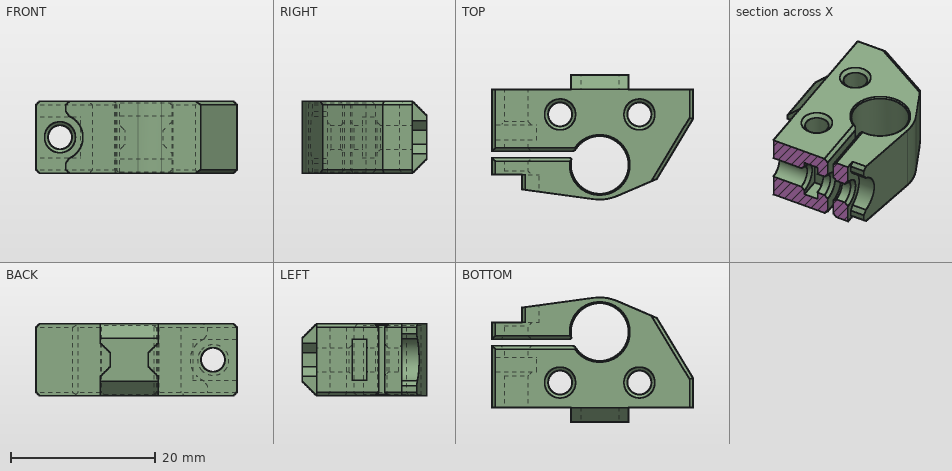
import cadquery as cq
import math

LENGTH = 27.95
HEIGHT = 10.0
EDGE_CHAMFER = 0.5

RIGHT_FACE_END_Y = -4.1
DIAGONAL_END = (22.92, -12.47)
NOSE_APEX = (15.82, -15.5)
NOSE_RADIUS = 6.15
STEP_X = 4.16
STEP_END_Y = -13.92
LIP_Y = -11.85

BORE_X = 14.98
BORE_Y = -10.5
BORE_DIAMETER = 8.0
BORE_CHAMFER = 0.2
SLOT_CORNER_BEVEL = 0.22
SLOT_TOP_Y = -8.65
SLOT_BOTTOM_Y = -9.5
SLOT_END_X = BORE_X - BORE_DIAMETER / 4

SCREW_DIAMETER = 3.3
SCREW_CHAMFER = 0.5
MOUNT_HOLE_SPACING = 11.0
MOUNT_HOLE_Y = -3.5
CLAMP_SCREW_X = 3.35
HEAD_RELIEF_RADIUS = 3.2

NUT_WIDTH = 5.65
NUT_THICKNESS = 2.05
NUT_POCKET_Y = -5.98
NUT_POCKET_DEPTH = CLAMP_SCREW_X + NUT_WIDTH / 2

TAB_WIDTH = 8.0
TAB_DEPTH = 2.0
TAB_NOTCH_MOUTH = 4.6
TAB_NOTCH_FLOOR = 1.93
TAB_NOTCH_DEPTH = (TAB_NOTCH_MOUTH - TAB_NOTCH_FLOOR) / 2


def body():
    """Extruded outline with a rounded nose, the clamp slot and chamfered rims."""
    outline = [
        (0, 0),
        (LENGTH, 0),
        (LENGTH, RIGHT_FACE_END_Y),
        DIAGONAL_END,
        NOSE_APEX,
        (STEP_X, STEP_END_Y),
        (0, STEP_END_Y),
    ]
    block = cq.Workplane("XY").polyline(outline).close().extrude(HEIGHT / 2, both=True)
    block = block.edges(cq.selectors.NearestToPointSelector((*NOSE_APEX, 0))).fillet(NOSE_RADIUS)

    slot_width = SLOT_TOP_Y - SLOT_BOTTOM_Y
    slot_center_y = (SLOT_TOP_Y + SLOT_BOTTOM_Y) / 2
    slot = cq.Workplane("XY").box(2 * SLOT_END_X, slot_width, HEIGHT).translate((0, slot_center_y, 0))
    block = block.cut(slot)

    chamfered_walls = [
        (0, SLOT_TOP_Y / 2),
        (0, (SLOT_BOTTOM_Y + STEP_END_Y) / 2),
        (SLOT_END_X / 2, SLOT_TOP_Y),
        (SLOT_END_X / 2, SLOT_BOTTOM_Y),
        (LENGTH, RIGHT_FACE_END_Y / 2),
        ((LENGTH + DIAGONAL_END[0]) / 2, (RIGHT_FACE_END_Y + DIAGONAL_END[1]) / 2),
    ]
    rims = cq.Workplane("XY")
    for x, y in chamfered_walls:
        for z in (-HEIGHT / 2, HEIGHT / 2):
            rims = rims.add(block.edges(cq.selectors.NearestToPointSelector((x, y, z))))
    return block.newObject(rims.vals()).chamfer(EDGE_CHAMFER)


def cut_head_relief(block):
    """Cut the step at the left end and the round relief for the clamp screw head."""
    relief_depth = LIP_Y - NOSE_APEX[1]
    front = cq.Workplane("XZ", origin=(0, LIP_Y, 0))
    step = front.rect(2 * STEP_X, HEIGHT).extrude(relief_depth)
    relief = front.center(CLAMP_SCREW_X, 0).circle(HEAD_RELIEF_RADIUS).extrude(relief_depth)
    block = block.cut(step.union(relief))

    tolerance = 0.03
    corners = block.edges("|Y").edges(
        cq.selectors.BoxSelector(
            (STEP_X - tolerance, STEP_END_Y, -HEIGHT),
            (STEP_X + tolerance, LIP_Y, HEIGHT),
        )
    )
    return corners.chamfer(EDGE_CHAMFER)


def countersink(diameter, chamfer):
    """Cone along +Z that widens from the hole at z = 0 to a chamfered mouth."""
    radius = diameter / 2
    profile = [(0, 0), (radius, 0), (radius + chamfer, chamfer), (0, chamfer)]
    return cq.Workplane("XZ").polyline(profile).close().revolve(360, (0, 0), (0, 1))


def vertical_hole(x, y, diameter, chamfer):
    """Cutter for a through hole along Z, chamfered at both ends."""
    cutter = cq.Workplane("XY").circle(diameter / 2).extrude(HEIGHT / 2, both=True)
    mouth = countersink(diameter, chamfer).translate((0, 0, HEIGHT / 2 - chamfer))
    cutter = cutter.union(mouth).union(mouth.mirror("XY"))
    return cutter.translate((x, y, 0))


def cut_bore(block):
    """Cut the clamping bore and bevel the upright corners where the slot runs into it."""
    plain_bore = cq.Workplane("XY").center(BORE_X, BORE_Y).circle(BORE_DIAMETER / 2)
    block = block.cut(plain_bore.extrude(HEIGHT / 2, both=True))

    corners = cq.Workplane("XY")
    for slot_y in (SLOT_TOP_Y, SLOT_BOTTOM_Y):
        corner_x = BORE_X - math.sqrt((BORE_DIAMETER / 2) ** 2 - (slot_y - BORE_Y) ** 2)
        corners = corners.add(block.edges(cq.selectors.NearestToPointSelector((corner_x, slot_y, 0))))
    block = block.newObject(corners.vals()).chamfer(SLOT_CORNER_BEVEL)
    return block.cut(vertical_hole(BORE_X, BORE_Y, BORE_DIAMETER, BORE_CHAMFER))


def clamp_screw_hole():
    """Cutter along Y through both jaws, chamfered where it meets the jaw and pocket walls."""
    cutter = cq.Workplane("XZ").circle(SCREW_DIAMETER / 2).extrude(-LIP_Y)
    toward_back = countersink(SCREW_DIAMETER, SCREW_CHAMFER).rotate((0, 0, 0), (1, 0, 0), -90)
    toward_front = toward_back.mirror("XZ")
    pocket_back_y = NUT_POCKET_Y + NUT_THICKNESS / 2
    for mouth_y in (LIP_Y, SLOT_TOP_Y, pocket_back_y):
        cutter = cutter.union(toward_front.translate((0, mouth_y + SCREW_CHAMFER, 0)))
    cutter = cutter.union(toward_back.translate((0, SLOT_BOTTOM_Y - SCREW_CHAMFER, 0)))
    return cutter.translate((CLAMP_SCREW_X, 0, 0))


def nut_pocket():
    """Cutter for the nut slot entered from the left end."""
    pocket = cq.Workplane("XY").box(2 * NUT_POCKET_DEPTH, NUT_THICKNESS, NUT_WIDTH)
    return pocket.translate((0, NUT_POCKET_Y, 0))


def tab():
    """Tab tapered at 45 degrees towards +Y, with a notch in each end."""
    tip_height = HEIGHT / 2 - TAB_DEPTH
    taper = [(0, -HEIGHT / 2), (TAB_DEPTH, -tip_height), (TAB_DEPTH, tip_height), (0, HEIGHT / 2)]
    key = cq.Workplane("YZ").polyline(taper).close().extrude(TAB_WIDTH / 2, both=True)

    end_x = -TAB_WIDTH / 2
    floor_x = end_x + TAB_NOTCH_DEPTH
    notch_profile = [
        (end_x, -TAB_NOTCH_MOUTH / 2),
        (floor_x, -TAB_NOTCH_FLOOR / 2),
        (floor_x, TAB_NOTCH_FLOOR / 2),
        (end_x, TAB_NOTCH_MOUTH / 2),
    ]
    notch = cq.Workplane("XZ").polyline(notch_profile).close().extrude(-TAB_DEPTH)
    key = key.cut(notch).cut(notch.mirror("YZ"))
    return key.translate((BORE_X, 0, 0))


result = cut_head_relief(body())
result = cut_bore(result)
for side in (-1, 1):
    hole_x = BORE_X + side * MOUNT_HOLE_SPACING / 2
    result = result.cut(vertical_hole(hole_x, MOUNT_HOLE_Y, SCREW_DIAMETER, SCREW_CHAMFER))
result = result.cut(clamp_screw_hole())
result = result.cut(nut_pocket())
result = result.union(tab())